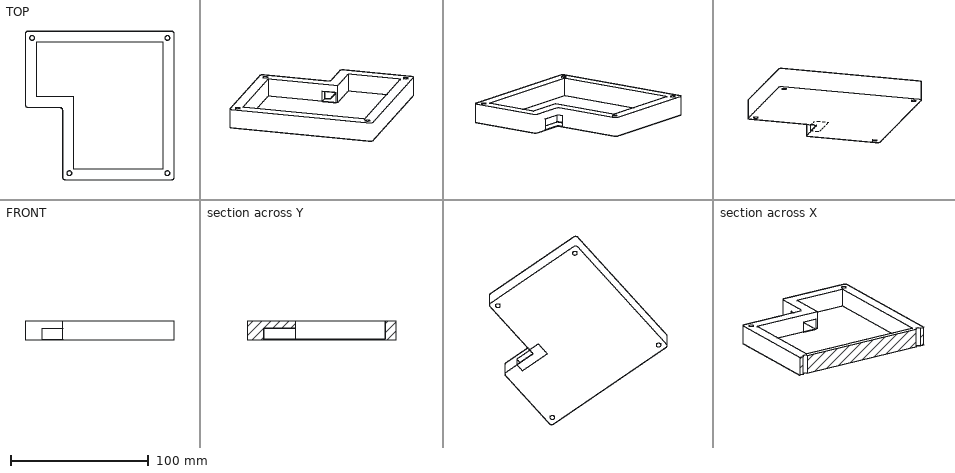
import cadquery as cq

side = 108.0
height = 14.0
notch_x = 27.0
notch_y = 52.5
wall = 8.0
floor = 1.0
corner_radius = 2.0

hole_diameter = 3.3
hole_inset = 5.0

pocket_left = 12.0
pocket_front = notch_y - 4.0
pocket_depth = 6.6
pocket_bottom = 0.5
pocket_top = 8.5


def l_outline(inset):
    """L-shaped outline, moved inward from the outer sides by inset."""
    near = inset
    far = side - inset
    step_x = notch_x + inset
    step_y = notch_y + inset
    return [
        (step_x, near),
        (far, near),
        (far, far),
        (near, far),
        (near, step_y),
        (step_x, step_y),
    ]


def make_body():
    body = cq.Workplane("XY").polyline(l_outline(0)).close().extrude(height)
    inner_corner = cq.selectors.NearestToPointSelector((notch_x, notch_y, height / 2))
    outer_corners = cq.selectors.SubtractSelector(cq.selectors.StringSyntaxSelector("|Z"), inner_corner)
    return body.edges(outer_corners).fillet(corner_radius)


def make_cavity():
    plane = cq.Workplane("XY").workplane(offset=floor)
    return plane.polyline(l_outline(wall)).close().extrude(height - floor)


def make_holes():
    near = hole_inset
    far = side - hole_inset
    centres = [(notch_x + near, near), (far, near), (far, far), (near, far)]
    return cq.Workplane("XY").pushPoints(centres).circle(hole_diameter / 2).extrude(height)


def make_pocket():
    size_x = notch_x + wall - pocket_left
    size_y = notch_y + pocket_depth - pocket_front
    size_z = pocket_top - pocket_bottom
    pocket = cq.Workplane("XY").box(size_x, size_y, size_z, centered=False)
    return pocket.translate((pocket_left, pocket_front, pocket_bottom))


def round_inner_corner(body):
    """Round the notch corner above the pocket; the thin lip below it stays sharp."""
    edge_middle = (notch_x, notch_y, (pocket_top + height) / 2)
    return body.edges(cq.selectors.NearestToPointSelector(edge_middle)).fillet(corner_radius)


tray = make_body().cut(make_cavity()).cut(make_holes()).cut(make_pocket())
result = round_inner_corner(tray)